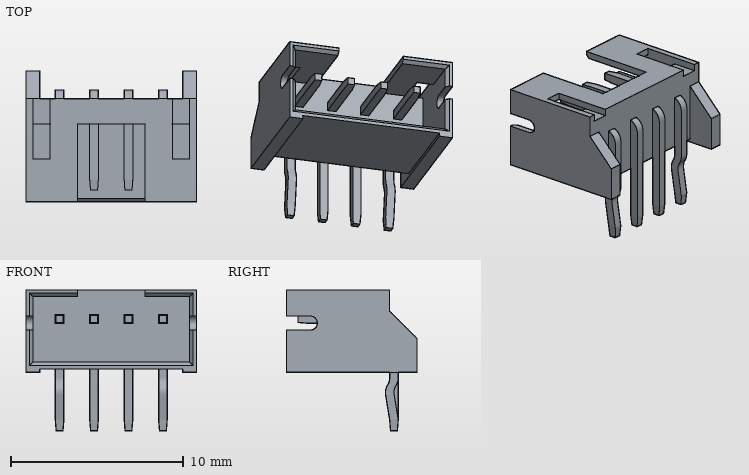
import cadquery as cq
import math


width = 9.9
top_z = 4.8
housing_depth = 6.0
wall = 0.4
foot_height = 0.2
foot_width = 0.8
cavity_depth = 4.5
mouth_chamfer = 0.2

ear_depth = 7.6
ear_bevel_top = 3.56
ear_bevel_bottom = ear_bevel_top - (ear_depth - housing_depth)

key_notch_width = 3.91
side_slot_width = 0.8
side_slot_depth = 1.8
side_slot_z = top_z - 1.93
roof_slot_width = 1.0
roof_slot_length = 3.5

pin_count = 4
pin_pitch = 2.0
pin_bend_radius = 0.75
pin_size = 0.5
pin_tip_size = 0.41
pin_tip_length = 0.62
pin_front = 0.67
pin_z = top_z - 1.7
overall_height = 8.2
leg_top_z = pin_z - pin_size / 2
leg_end_z = top_z - overall_height
leg_y = housing_depth + pin_size / 2

kink_start_z = -0.51
kink_peak_z = -1.01
kink_angle = 30.0
kink_radius = 0.79
kink_offset = (kink_start_z - kink_peak_z) * math.tan(math.radians(kink_angle))


def box(x_range, y_range, z_range):
    """Axis-aligned box given by its (low, high) limits."""
    limits = (x_range, y_range, z_range)
    size = [high - low for low, high in limits]
    corner = tuple(low for low, high in limits)
    return cq.Workplane("XY").box(*size, centered=False).translate(corner)


def make_shell():
    """Solid housing block with a foot and a bevelled rear ear along each side."""
    shell = box((-width / 2, width / 2), (0, housing_depth), (foot_height, top_z))
    side_profile = [
        (0, 0),
        (ear_depth, 0),
        (ear_depth, ear_bevel_bottom),
        (housing_depth, ear_bevel_top),
        (housing_depth, top_z),
        (0, top_z),
    ]
    side = cq.Workplane("YZ").polyline(side_profile).close().extrude(foot_width)
    for left_x in (-width / 2, width / 2 - foot_width):
        shell = shell.union(side.translate((left_x, 0, 0)))
    return shell


def make_cavity():
    """Mating cavity, open to the front, with a chamfered mouth."""
    floor_z = foot_height + wall
    ceiling_z = top_z - wall
    half_width = width / 2 - wall
    cavity = box((-half_width, half_width), (0, cavity_depth), (floor_z, ceiling_z))
    front_plane = cq.Plane(
        origin=(0, 0, (floor_z + ceiling_z) / 2), xDir=(1, 0, 0), normal=(0, 1, 0)
    )
    mouth = (
        cq.Workplane(front_plane)
        .rect(2 * (half_width + mouth_chamfer), ceiling_z - floor_z + 2 * mouth_chamfer)
        .extrude(mouth_chamfer, taper=45)
    )
    return cavity.union(mouth)


def make_key_notch():
    """Wide notch through the roof, open to the front."""
    half_width = key_notch_width / 2
    return box((-half_width, half_width), (0, cavity_depth), (top_z - wall, top_z))


def make_side_slots():
    """Round-ended slot through both side walls, open to the front."""
    radius = side_slot_width / 2
    straight_length = side_slot_depth - radius
    return (
        cq.Workplane("YZ")
        .moveTo(0, side_slot_z - radius)
        .lineTo(straight_length, side_slot_z - radius)
        .threePointArc(
            (side_slot_depth, side_slot_z), (straight_length, side_slot_z + radius)
        )
        .lineTo(0, side_slot_z + radius)
        .close()
        .extrude(width / 2, both=True)
    )


def make_roof_slots():
    """Slot through the roof beside each side wall, open to the rear."""
    outer_x = width / 2 - wall
    right_slot = box(
        (outer_x - roof_slot_width, outer_x),
        (housing_depth - roof_slot_length, housing_depth),
        (top_z - wall, top_z),
    )
    return right_slot.union(right_slot.mirror("YZ"))


def make_tip(base_center, direction):
    """Square tapered pin tip growing from base_center along direction."""
    plane = cq.Plane(origin=base_center, xDir=(1, 0, 0), normal=direction)
    return (
        cq.Workplane(plane)
        .rect(pin_size, pin_size)
        .workplane(offset=pin_tip_length)
        .rect(pin_tip_size, pin_tip_size)
        .loft(combine=True)
    )


def make_leg(kinked):
    """Vertical leg hanging from the rear end of the blade, straight or kinked forward."""
    end_z = leg_end_z + pin_tip_length
    back_y = housing_depth + pin_size
    if not kinked:
        return box((-pin_size / 2, pin_size / 2), (housing_depth, back_y), (end_z, leg_top_z))
    profile = [
        (housing_depth, leg_top_z),
        (housing_depth, kink_start_z),
        (housing_depth - kink_offset, kink_peak_z),
        (housing_depth, end_z),
        (back_y, end_z),
        (back_y - kink_offset, kink_peak_z),
        (back_y, kink_start_z),
        (back_y, leg_top_z),
    ]
    leg = cq.Workplane("YZ").polyline(profile).close().extrude(pin_size / 2, both=True)
    margin = pin_size / 4
    bend_zone = cq.selectors.BoxSelector(
        (-pin_size, 0, kink_peak_z - margin), (pin_size, ear_depth, kink_start_z + margin)
    )
    return leg.edges("|X").edges(bend_zone).fillet(kink_radius)


def make_pin(kinked):
    """Pin at X = 0: contact blade, rounded outer bend, leg and two tips."""
    half = pin_size / 2
    blade = box(
        (-half, half),
        (pin_front + pin_tip_length, housing_depth + pin_size),
        (pin_z - half, pin_z + half),
    )
    bent_bar = blade.union(make_leg(kinked)).edges("|X and >Y and >Z").fillet(pin_bend_radius)
    blade_tip = make_tip((0, pin_front + pin_tip_length, pin_z), (0, -1, 0))
    leg_tip = make_tip((0, leg_y, leg_end_z + pin_tip_length), (0, 0, -1))
    return bent_bar.union(blade_tip).union(leg_tip)


housing = (
    make_shell()
    .cut(make_cavity())
    .cut(make_key_notch())
    .cut(make_side_slots())
    .cut(make_roof_slots())
)

result = housing
for index in range(pin_count):
    pin_x = (index - (pin_count - 1) / 2) * pin_pitch
    is_outermost = index in (0, pin_count - 1)
    result = result.union(make_pin(is_outermost).translate((pin_x, 0, 0)))